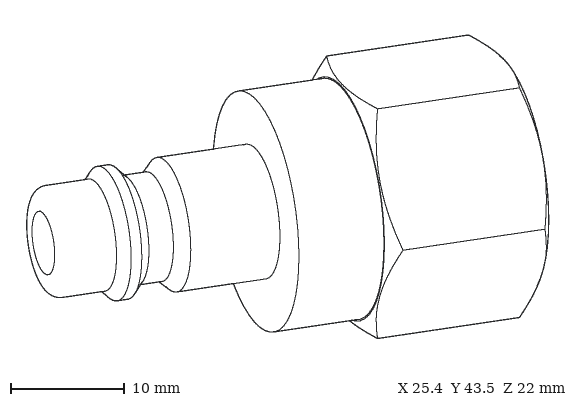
import cadquery as cq
import math

total_length = 43.5
hex_flats = 22.0
hex_length = 15.5
hex_chamfer_diameter = 21.75
hex_chamfer_angle = 30.0
collar_diameter = 21.5
collar_length = 8.0
plug_diameter = 12.0
neck_diameter = 9.8
tip_diameter = 10.0
tip_rounding = 1.0
bore_diameter = 5.65

tip_end = 5.0
rib_start = 6.0
rib_end = 7.0
neck_start = 8.1
neck_end = 10.4
shank_start = 11.6

hex_start = total_length - hex_length
collar_start = hex_start - collar_length
hex_corners = hex_flats / math.cos(math.pi / 6)


def revolve_about_y(profile):
    return profile.close().revolve(360, (0, 0, 0), (0, 1, 0))


def chamfered_hex():
    """Hexagon with flats facing up and down and conically trimmed corners."""
    prism = (
        cq.Workplane("XZ", origin=(0, total_length, 0))
        .polygon(6, hex_corners)
        .extrude(hex_length)
    )
    end_radius = hex_chamfer_diameter / 2
    corner_radius = hex_corners / 2
    drop = (corner_radius - end_radius) * math.tan(math.radians(hex_chamfer_angle))
    envelope = revolve_about_y(
        cq.Workplane("XY")
        .moveTo(0, hex_start)
        .lineTo(end_radius, hex_start)
        .lineTo(corner_radius, hex_start + drop)
        .lineTo(corner_radius, total_length - drop)
        .lineTo(end_radius, total_length)
        .lineTo(0, total_length)
    )
    return prism.intersect(envelope)


def plug_and_collar():
    """Turned plug with a rounded tip, a rib and a neck, ending in the collar."""
    tip_radius = tip_diameter / 2
    plug_radius = plug_diameter / 2
    neck_radius = neck_diameter / 2
    collar_radius = collar_diameter / 2
    arc_offset = tip_rounding * math.sqrt(0.5)
    arc_middle = (tip_radius - tip_rounding + arc_offset, tip_rounding - arc_offset)
    return revolve_about_y(
        cq.Workplane("XY")
        .moveTo(0, 0)
        .lineTo(tip_radius - tip_rounding, 0)
        .threePointArc(arc_middle, (tip_radius, tip_rounding))
        .lineTo(tip_radius, tip_end)
        .lineTo(plug_radius, rib_start)
        .lineTo(plug_radius, rib_end)
        .lineTo(neck_radius, neck_start)
        .lineTo(neck_radius, neck_end)
        .lineTo(plug_radius, shank_start)
        .lineTo(plug_radius, collar_start)
        .lineTo(collar_radius, collar_start)
        .lineTo(collar_radius, hex_start)
        .lineTo(0, hex_start)
    )


def through_bore():
    return (
        cq.Workplane("XZ", origin=(0, total_length, 0))
        .circle(bore_diameter / 2)
        .extrude(total_length)
    )


result = chamfered_hex().union(plug_and_collar()).cut(through_bore())